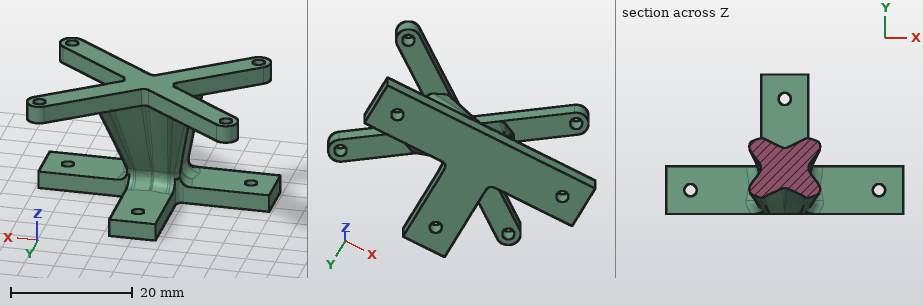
import cadquery as cq
import math

plate_thickness = 3.0
total_height = 23.0
mount_bottom = total_height - plate_thickness

bar_length = 39.0
bar_depth = 7.88
tab_width = 7.8
base_depth = 22.97
bar_hole_spacing = 30.95
bar_hole_y = bar_depth / 2
tab_hole_y = 18.9
hole_diameter = 2.0

mount_center_y = 11.25
mount_hole_spacing_x = 31.5
mount_hole_spacing_y = 23.05
arm_width = 4.05
arm_angle = math.atan2(mount_hole_spacing_y, mount_hole_spacing_x)

foot_half_width = tab_width / 2
foot_flat_half_width = 2.5
blunt_corner_reach = 7.65
sharp_corner_reach = 9.9

edge_fillet = 1.0
foot_fillet = 2.0

overhang_trim_height = 4.68

slab_depth = 39.0
margin = 0.4


def rectangle_from_front(width, depth, height):
    """Block centred on X that starts at the front plane and stands on the XY plane."""
    return cq.Workplane("XY").box(width, depth, height, centered=(True, False, False))


def box_around(half_x, y_range, z_range):
    """Selector for whatever has its centre inside a box that is symmetric in X."""
    return cq.selectors.BoxSelector((-half_x, y_range[0], z_range[0]), (half_x, y_range[1], z_range[1]))


def base(height):
    """T outline with rounded inner corners, extruded to the given height."""
    outline = rectangle_from_front(bar_length, bar_depth, height)
    outline = outline.union(rectangle_from_front(tab_width, base_depth, height))
    inner_corners = box_around(tab_width, (bar_depth - margin, bar_depth + margin), (0, height))
    return outline.edges("|Z").edges(inner_corners).fillet(edge_fillet)


def mount():
    """Two crossing arms with round tips and rounded inner corners."""
    arm_length = math.hypot(mount_hole_spacing_x, mount_hole_spacing_y) + arm_width
    cross = cq.Workplane("XY")
    for side in (1, -1):
        arm = cq.Workplane("XY").slot2D(arm_length, arm_width, side * math.degrees(arm_angle))
        cross = cross.union(arm.extrude(plate_thickness))
    inner_corners = box_around(arm_width, (-arm_width, arm_width), (0, plate_thickness))
    cross = cross.edges("|Z").edges(inner_corners).fillet(edge_fillet)
    return cross.translate((0, mount_center_y, mount_bottom))


def hole_pins(points, bottom):
    """Cylinders to cut through a plate that starts at the given height."""
    pins = cq.Workplane("XY").workplane(offset=bottom).pushPoints(points)
    return pins.circle(hole_diameter / 2).extrude(plate_thickness)


def symmetric_loop(quarter, center_y):
    """Closed outline mirrored about both axes, from a quarter that runs from the front to the right."""
    right = quarter + [(x, -y) for x, y in reversed(quarter[:-1])]
    left = [(-x, y) for x, y in reversed(right[1:-1])]
    return [(x, y + center_y) for x, y in right + left]


def foot_quarter():
    """Plain square, split where the strut's edges start."""
    h = foot_half_width
    return [(0, -h), (foot_flat_half_width, -h), (h, -h), (h, 0)]


def head_quarter():
    """One arm of the X; its slanted end makes a blunt corner in front and a sharp one beside it."""
    c = math.cos(arm_angle)
    s = math.sin(arm_angle)
    half_width = arm_width / 2
    blunt_corner = (blunt_corner_reach * c - half_width * s, -blunt_corner_reach * s - half_width * c)
    sharp_corner = (sharp_corner_reach * c + half_width * s, -sharp_corner_reach * s + half_width * c)
    return [(0, -half_width / c), blunt_corner, sharp_corner, (half_width / s, 0)]


def strut():
    """Ruled loft from foot to head with every side edge rounded."""
    body = (
        cq.Workplane("XY").workplane(offset=plate_thickness)
        .polyline(symmetric_loop(foot_quarter(), foot_half_width)).close()
        .workplane(offset=mount_bottom - plate_thickness)
        .polyline(symmetric_loop(head_quarter(), mount_center_y)).close()
        .loft(ruled=True)
    )
    side_edges = box_around(bar_length, (0, base_depth), (plate_thickness + margin, mount_bottom - margin))
    return body.edges(side_edges).fillet(edge_fillet)


def base_with_strut():
    """Strut blended into an oversized slab, which is then trimmed to the base outline.

    Trimming last cuts the foot fillet off flush with the sides of the base.
    The right half is mirrored so that both sides of the blend are identical.
    """
    slab = rectangle_from_front(bar_length, slab_depth, plate_thickness)
    body = slab.union(strut(), clean=False)
    foot_seam = box_around(
        foot_half_width + margin,
        (margin / 2, 2 * foot_half_width + margin),
        (plate_thickness - margin / 2, plate_thickness + margin / 2),
    )
    body = body.edges(foot_seam).fillet(foot_fillet)
    outside = cq.Workplane("XY").box(
        2 * bar_length, 2 * slab_depth + margin, overhang_trim_height, centered=(True, True, False)
    )
    body = body.cut(outside.cut(base(overhang_trim_height)))
    right_side = cq.Workplane("XY").box(bar_length, 2 * slab_depth, 2 * total_height)
    right_half = body.intersect(right_side.translate((bar_length / 2, 0, 0)))
    return right_half.union(right_half.mirror("YZ"))


mount_holes = [
    (x * mount_hole_spacing_x / 2, mount_center_y + y * mount_hole_spacing_y / 2)
    for x in (-1, 1)
    for y in (-1, 1)
]
base_holes = [
    (-bar_hole_spacing / 2, bar_hole_y),
    (bar_hole_spacing / 2, bar_hole_y),
    (0, tab_hole_y),
]

result = base_with_strut()
result = result.union(mount())
result = result.cut(hole_pins(mount_holes, mount_bottom))
result = result.cut(hole_pins(base_holes, 0))